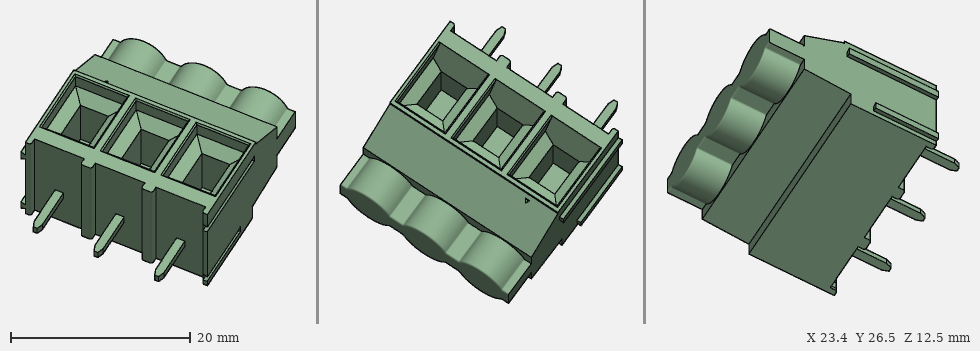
import cadquery as cq


POLES = 3
PITCH = 7.62
WIDTH = POLES * PITCH
HEIGHT = 12.5
LEFT = -WIDTH / 2
RIGHT = WIDTH / 2

RIB_DEPTH = 0.9
SHOULDER_Y = 17.0
BACK_Y = 21.5
TOP_EDGE_Y = 11.8
SLOPE_TOP_Z = 12.14
SLOPE_BOTTOM_Z = 9.56
UNDERSIDE_EDGE_Y = 11.0
UNDERCUT_FRONT_Z = 2.05
UNDERCUT_BACK_Z = 2.55

COLLAR_Z = 6.03
COLLAR_RADIUS = 3.25
COLLAR_BLEND = 0.22
SLAB_THICKNESS = 2.92
END_ROUNDING = 0.2
END_MARGIN = 0.1

RIB_HALF_WIDTH = 0.7
RIB_ROUNDING = 0.3

MOUTH_WIDTH = 6.85
MOUTH_FRONT_Y = 2.73
MOUTH_BACK_Y = 11.33
LIP = 0.18
FRONT_LIP = 0.12
WALL_DEPTH = 1.79
SHAFT_WIDTH = 3.5
SHAFT_FRONT_Y = 4.72
SHAFT_BACK_Y = 9.45
FUNNEL_DEPTH = 2.55
SHAFT_FLOOR_Z = 4.0

PIN_WIDTH = 1.04
PIN_THICKNESS = 0.9
PIN_Z = 4.6
PIN_LENGTH = 5.0
PIN_TIP_LENGTH = 0.75
PIN_TIP_WIDTH = 0.5

RAIL_PROJECTION = 0.55
GROOVE_DEPTH = 0.6
DOVETAILS = [
    (9.92, 0.78, 1.22, 11.5),
    (1.2, 0.72, 1.14, 8.1),
]

MARK_WIDTH = 0.5
MARK_FRONT_Y = 12.28
MARK_LENGTH = 0.42
MARK_DEPTH = 0.1


def pole_centres():
    return [LEFT + PITCH * (i + 0.5) for i in range(POLES)]


def extrude_x(points, start_x, length):
    """Extrude a closed YZ outline along +X."""
    return cq.Workplane("YZ", origin=(start_x, 0, 0)).polyline(points).close().extrude(length)


def extrude_y(points, start_y, length):
    """Extrude a closed XZ outline along +Y."""
    return cq.Workplane("XZ", origin=(0, start_y, 0)).polyline(points).close().extrude(-length)


def make_housing():
    outline = [
        (RIB_DEPTH, 0),
        (UNDERSIDE_EDGE_Y, 0),
        (UNDERSIDE_EDGE_Y, UNDERCUT_FRONT_Z),
        (SHOULDER_Y, UNDERCUT_BACK_Z),
        (SHOULDER_Y, SLOPE_BOTTOM_Z),
        (TOP_EDGE_Y, SLOPE_TOP_Z),
        (TOP_EDGE_Y, HEIGHT),
        (RIB_DEPTH, HEIGHT),
    ]
    return extrude_x(outline, LEFT, WIDTH)


def make_collars():
    length = BACK_Y - SHOULDER_Y
    collars = cq.Workplane("XY").box(WIDTH, length, SLAB_THICKNESS)
    for x in pole_centres():
        collar = cq.Workplane("XZ", origin=(x, length / 2, 0)).circle(COLLAR_RADIUS).extrude(length)
        collars = collars.union(collar)
    inner_corners = collars.edges("|Y").filter(lambda edge: abs(edge.Center().x) < RIGHT - END_MARGIN)
    collars = inner_corners.fillet(COLLAR_BLEND)
    back_rim = collars.faces(">Y").edges().filter(lambda edge: abs(edge.Center().x) < RIGHT - END_MARGIN)
    collars = back_rim.fillet(END_ROUNDING)
    return collars.translate((0, SHOULDER_Y + length / 2, COLLAR_Z))


def make_ribs():
    """Ribs on the pole boundaries, trimmed to half width at both ends of the row."""
    ribs = cq.Workplane("XY")
    for i in range(POLES + 1):
        rib = (
            cq.Workplane("XY")
            .box(2 * RIB_HALF_WIDTH, 2 * RIB_DEPTH, HEIGHT, centered=(True, False, False))
            .edges("|Z and <Y")
            .fillet(RIB_ROUNDING)
        )
        ribs = ribs.union(rib.translate((LEFT + i * PITCH, 0, 0)))
    row = cq.Workplane("XY").box(WIDTH, 2 * RIB_DEPTH, HEIGHT, centered=(True, False, False))
    return ribs.intersect(row)


def make_funnel(x):
    """Lipped mouth, vertical walls, sloped funnel and narrow shaft."""
    half_mouth = MOUTH_WIDTH / 2
    half_shaft = SHAFT_WIDTH / 2
    lip_z = HEIGHT - LIP
    wall_z = HEIGHT - WALL_DEPTH
    shaft_z = HEIGHT - FUNNEL_DEPTH
    right_half = [
        (half_shaft, SHAFT_FLOOR_Z),
        (half_shaft, shaft_z),
        (half_mouth - LIP, wall_z),
        (half_mouth - LIP, lip_z),
        (half_mouth, HEIGHT),
    ]
    left_half = [(-across, z) for across, z in reversed(right_half)]
    front_outline = [(x + across, z) for across, z in right_half + left_half]
    side_outline = [
        (SHAFT_FRONT_Y, SHAFT_FLOOR_Z),
        (SHAFT_BACK_Y, SHAFT_FLOOR_Z),
        (SHAFT_BACK_Y, shaft_z),
        (MOUTH_BACK_Y - LIP, wall_z),
        (MOUTH_BACK_Y - LIP, lip_z),
        (MOUTH_BACK_Y, HEIGHT),
        (MOUTH_FRONT_Y, HEIGHT),
        (MOUTH_FRONT_Y + FRONT_LIP, lip_z),
        (SHAFT_FRONT_Y, shaft_z),
    ]
    across = extrude_y(front_outline, MOUTH_FRONT_Y, MOUTH_BACK_Y - MOUTH_FRONT_Y)
    along = extrude_x(side_outline, x - half_mouth, MOUTH_WIDTH)
    return across.intersect(along)


def make_pin(x):
    half = PIN_WIDTH / 2
    half_tip = PIN_TIP_WIDTH / 2
    taper_y = PIN_TIP_LENGTH - PIN_LENGTH
    outline = [
        (x - half, RIB_DEPTH),
        (x - half, taper_y),
        (x - half_tip, -PIN_LENGTH),
        (x + half_tip, -PIN_LENGTH),
        (x + half, taper_y),
        (x + half, RIB_DEPTH),
    ]
    bottom = cq.Workplane("XY", origin=(0, 0, PIN_Z - PIN_THICKNESS / 2))
    return bottom.polyline(outline).close().extrude(PIN_THICKNESS)


def make_dovetail(side_x, depth, centre_z, root_height, outer_height, length):
    """Dovetail bar that widens from the face at side_x towards -X."""
    outline = [
        (side_x, centre_z - root_height / 2),
        (side_x, centre_z + root_height / 2),
        (side_x - depth, centre_z + outer_height / 2),
        (side_x - depth, centre_z - outer_height / 2),
    ]
    return extrude_y(outline, 0, length)


def make_mark(x):
    """Triangular prism lying just under the sloped face."""
    slope = (SLOPE_TOP_Z - SLOPE_BOTTOM_Z) / (SHOULDER_Y - TOP_EDGE_Y)
    triangle = [
        (x - MARK_WIDTH / 2, MARK_FRONT_Y),
        (x + MARK_WIDTH / 2, MARK_FRONT_Y),
        (x, MARK_FRONT_Y + MARK_LENGTH),
    ]
    floor_z = SLOPE_TOP_Z - slope * (MARK_FRONT_Y + MARK_LENGTH - TOP_EDGE_Y) - MARK_DEPTH
    return cq.Workplane("XY", origin=(0, 0, floor_z)).polyline(triangle).close().extrude(HEIGHT - floor_z)


result = make_housing().union(make_collars()).union(make_ribs())
for pole_x in pole_centres():
    result = result.cut(make_funnel(pole_x)).union(make_pin(pole_x))
for dovetail in DOVETAILS:
    result = result.union(make_dovetail(LEFT, RAIL_PROJECTION, *dovetail))
    result = result.cut(make_dovetail(RIGHT, GROOVE_DEPTH, *dovetail))
result = result.cut(make_mark(pole_centres()[0]))